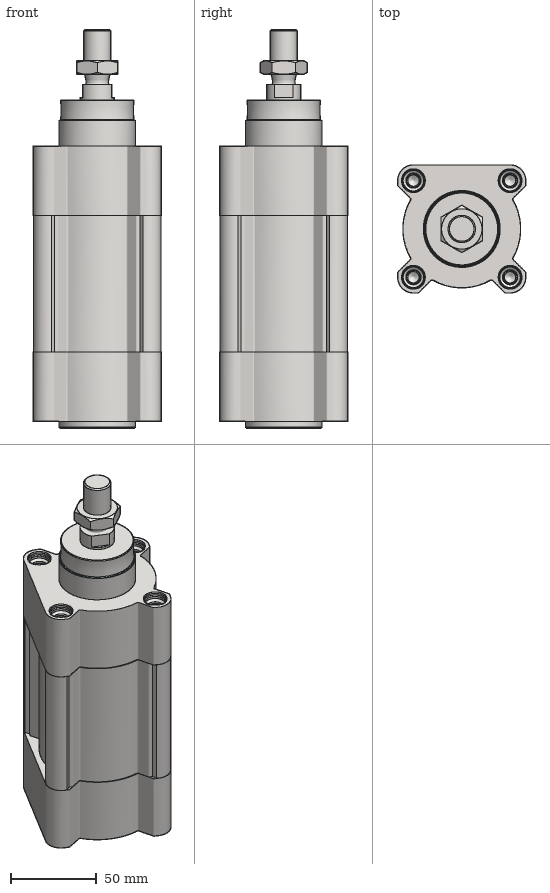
import cadquery as cq
import math

EDGE_TOLERANCE = 0.01

REAR_BOSS_HEIGHT = 4.0
CAP_LENGTH = 40.5
BARREL_LENGTH = 80.0
COLLAR_HEIGHT = 15.0
WIPER_HEIGHT = 12.0
SHOULDER_HEIGHT = 36.1
STUD_LENGTH = 32.0

REAR_CAP_Z = REAR_BOSS_HEIGHT
BARREL_Z = REAR_CAP_Z + CAP_LENGTH
FRONT_CAP_Z = BARREL_Z + BARREL_LENGTH
FRONT_FACE_Z = FRONT_CAP_Z + CAP_LENGTH
WIPER_Z = FRONT_FACE_Z + COLLAR_HEIGHT
WIPER_TOP_Z = WIPER_Z + WIPER_HEIGHT
SHOULDER_Z = FRONT_FACE_Z + SHOULDER_HEIGHT
ROD_TOP_Z = SHOULDER_Z + STUD_LENGTH

SQUARE_SIDE = 75.0
SCREW_PITCH = 56.5
HALF_SIDE = SQUARE_SIDE / 2
HALF_PITCH = SCREW_PITCH / 2
CORNER_RADIUS = HALF_SIDE - HALF_PITCH
CORNER_REACH = HALF_PITCH * math.sqrt(2)
BARREL_INSET = 0.1
CAP_RADIUS = 34.5
BARREL_RADIUS = 34.0
CAP_ARM_HALF_WIDTH = 8.6
BARREL_ARM_HALF_WIDTH = CAP_ARM_HALF_WIDTH - BARREL_INSET
CAP_ARM_FILLET = 0.8
BARREL_FILLET = 1.2
BARREL_CORNER_RADIUS = CORNER_RADIUS - BARREL_INSET

GROOVE_INNER_REACH = 41.0
GROOVE_FLOOR_REACH = 42.4
GROOVE_FLOOR_HALF_WIDTH = 7.0
GROOVE_OUTER_REACH = 45.3
GROOVE_LIP_FILLET = 0.8

BOSS_DIAMETER = 45.0
REAR_BOSS_CHAMFER = 0.8
WIPER_DIAMETER = 43.0
WIPER_WAIST_DIAMETER = 42.4
WIPER_FOOT_DIAMETER = 44.0
WIPER_CHAMFER = 0.5

SCREW_HOLE_RIMS = [
    (13.9, 0.0),
    (13.2, 0.8),
    (13.2, 2.0),
    (12.0, 2.6),
    (12.0, 4.0),
    (8.8, 5.2),
    (8.0, 6.0),
]
THREAD_CORE_DIAMETER = 6.65
THREAD_DEPTH = 20.0
DRILL_POINT_ANGLE = 118.0

ROD_DIAMETER = 20.0
STUD_DIAMETER = 16.0
STUD_TIP_DIAMETER = 14.38
UNDERCUT_DIAMETER = 13.2
UNDERCUT_HEIGHT = 2.1
UNDERCUT_CONE_DIAMETER = 14.95
UNDERCUT_FILLET = 0.6
WRENCH_FLATS = 17.0
FLATS_HEIGHT = 7.7

NUT_ACROSS_FLATS = 24.0
NUT_HEIGHT = 8.0
NUT_GAP = 5.8
NUT_FACE_DIAMETER = 23.6
NUT_CHAMFER_ANGLE = 30.0
NUT_Z = SHOULDER_Z + NUT_GAP


def cylinder(diameter, z, height):
    return cq.Workplane("XY").workplane(offset=z).circle(diameter / 2).extrude(height)


def revolve_profile(points):
    """Closed (radius, z) outline turned about the Z axis."""
    return cq.Workplane("XZ").polyline(points).close().revolve(360, (0, 0), (0, 1))


def at_corners(solid):
    """The solid, laid along +X, copied onto the four diagonals."""
    return [solid.rotate((0, 0, 0), (0, 0, 1), angle) for angle in (45, 135, 225, 315)]


def fillet_arm_edges(body, half_width, reaches, radius):
    """Round the upright edges on the sides of the arms, at the given distances along the diagonal."""
    axis_distances = [math.hypot(reach, half_width) for reach in reaches]

    def on_arm_side(edge):
        x, y = abs(edge.Center().x), abs(edge.Center().y)
        off_side = abs(x - y) / math.sqrt(2) - half_width
        off_reach = min(abs(math.hypot(x, y) - distance) for distance in axis_distances)
        return abs(off_side) < EDGE_TOLERANCE and off_reach < EDGE_TOLERANCE

    return body.edges("|Z").filter(on_arm_side).fillet(radius)


def make_cap(z):
    """End cap: round body, four corner arms and a flat +Y side."""
    square = (
        cq.Workplane("XY").workplane(offset=z)
        .rect(SQUARE_SIDE, SQUARE_SIDE).extrude(CAP_LENGTH)
        .edges("|Z").fillet(CORNER_RADIUS)
    )
    arm = (
        cq.Workplane("XY").workplane(offset=z)
        .rect(2 * SQUARE_SIDE, 2 * CAP_ARM_HALF_WIDTH).extrude(CAP_LENGTH)
    )
    keep = cylinder(2 * CAP_RADIUS, z, CAP_LENGTH)
    for angle in (45, 135):
        keep = keep.union(arm.rotate((0, 0, 0), (0, 0, 1), angle))
    flat_side = (
        cq.Workplane("XY").workplane(offset=z)
        .polyline([(0, 0), (SQUARE_SIDE, SQUARE_SIDE), (-SQUARE_SIDE, SQUARE_SIDE)]).close()
        .extrude(CAP_LENGTH)
    )
    cap = square.intersect(keep.union(flat_side))
    root_reach = math.sqrt(CAP_RADIUS**2 - CAP_ARM_HALF_WIDTH**2)
    corner_reach = HALF_SIDE * math.sqrt(2) - CAP_ARM_HALF_WIDTH
    return fillet_arm_edges(cap, CAP_ARM_HALF_WIDTH, [root_reach, corner_reach], CAP_ARM_FILLET)


def make_barrel():
    """Barrel: round tube body with four grooved corner arms."""
    outer_half_width = math.sqrt(BARREL_CORNER_RADIUS**2 - (GROOVE_OUTER_REACH - CORNER_REACH)**2)
    arm = (
        cq.Workplane("XY").workplane(offset=BARREL_Z)
        .moveTo(0, -BARREL_ARM_HALF_WIDTH)
        .lineTo(GROOVE_INNER_REACH, -BARREL_ARM_HALF_WIDTH)
        .lineTo(GROOVE_FLOOR_REACH, -GROOVE_FLOOR_HALF_WIDTH)
        .lineTo(GROOVE_OUTER_REACH, -outer_half_width)
        .threePointArc((CORNER_REACH + BARREL_CORNER_RADIUS, 0), (GROOVE_OUTER_REACH, outer_half_width))
        .lineTo(GROOVE_FLOOR_REACH, GROOVE_FLOOR_HALF_WIDTH)
        .lineTo(GROOVE_INNER_REACH, BARREL_ARM_HALF_WIDTH)
        .lineTo(0, BARREL_ARM_HALF_WIDTH)
        .close().extrude(BARREL_LENGTH)
    )
    barrel = cylinder(2 * BARREL_RADIUS, BARREL_Z, BARREL_LENGTH)
    for corner_arm in at_corners(arm):
        barrel = barrel.union(corner_arm)
    root_reach = math.sqrt(BARREL_RADIUS**2 - BARREL_ARM_HALF_WIDTH**2)
    barrel = fillet_arm_edges(barrel, BARREL_ARM_HALF_WIDTH, [root_reach], BARREL_FILLET)
    return fillet_arm_edges(barrel, BARREL_ARM_HALF_WIDTH, [GROOVE_INNER_REACH], GROOVE_LIP_FILLET)


def make_front_collar():
    """Collar with a slightly waisted wiper ring on top."""
    waist_bottom = WIPER_Z + WIPER_CHAMFER
    waist_top = WIPER_TOP_Z - WIPER_CHAMFER
    wiper = (
        cq.Workplane("XZ")
        .moveTo(0, WIPER_Z)
        .lineTo(WIPER_FOOT_DIAMETER / 2, WIPER_Z)
        .lineTo(WIPER_DIAMETER / 2, waist_bottom)
        .threePointArc(
            (WIPER_WAIST_DIAMETER / 2, (waist_bottom + waist_top) / 2),
            (WIPER_DIAMETER / 2, waist_top),
        )
        .lineTo(WIPER_DIAMETER / 2 - WIPER_CHAMFER, WIPER_TOP_Z)
        .lineTo(0, WIPER_TOP_Z)
        .close().revolve(360, (0, 0), (0, 1))
    )
    return cylinder(BOSS_DIAMETER, FRONT_FACE_Z, COLLAR_HEIGHT).union(wiper)


def make_screw_hole():
    """Stepped corner hole with a threaded core ending in a drill point."""
    core = THREAD_CORE_DIAMETER / 2
    last_depth = SCREW_HOLE_RIMS[-1][1]
    point_depth = core / math.tan(math.radians(DRILL_POINT_ANGLE / 2))
    outline = [(0, FRONT_FACE_Z)]
    outline += [(d / 2, FRONT_FACE_Z - depth) for d, depth in SCREW_HOLE_RIMS]
    outline += [
        (core, FRONT_FACE_Z - last_depth),
        (core, FRONT_FACE_Z - THREAD_DEPTH),
        (0, FRONT_FACE_Z - THREAD_DEPTH - point_depth),
    ]
    return revolve_profile(outline).translate((CORNER_REACH, 0, 0))


def make_housing():
    rear_boss = cylinder(BOSS_DIAMETER, 0, REAR_BOSS_HEIGHT).faces("<Z").chamfer(REAR_BOSS_CHAMFER)
    housing = make_barrel().union(make_cap(REAR_CAP_Z)).union(make_cap(FRONT_CAP_Z))
    housing = housing.union(rear_boss).union(make_front_collar())
    for hole in at_corners(make_screw_hole()):
        housing = housing.cut(hole)
    return housing.cut(cylinder(ROD_DIAMETER, FRONT_CAP_Z, WIPER_TOP_Z - FRONT_CAP_Z))


def make_piston_rod():
    undercut_top = SHOULDER_Z + UNDERCUT_HEIGHT
    tip_chamfer = (STUD_DIAMETER - STUD_TIP_DIAMETER) / 2
    rod = revolve_profile([
        (0, FRONT_CAP_Z),
        (ROD_DIAMETER / 2, FRONT_CAP_Z),
        (ROD_DIAMETER / 2, SHOULDER_Z),
        (UNDERCUT_DIAMETER / 2, SHOULDER_Z),
        (UNDERCUT_DIAMETER / 2, undercut_top),
        (UNDERCUT_CONE_DIAMETER / 2, NUT_Z),
        (STUD_DIAMETER / 2, NUT_Z),
        (STUD_DIAMETER / 2, ROD_TOP_Z - tip_chamfer),
        (STUD_TIP_DIAMETER / 2, ROD_TOP_Z),
        (0, ROD_TOP_Z),
    ])
    undercut_edges = cq.selectors.BoxSelector(
        (-STUD_DIAMETER, -STUD_DIAMETER, SHOULDER_Z - EDGE_TOLERANCE),
        (STUD_DIAMETER, STUD_DIAMETER, undercut_top + EDGE_TOLERANCE),
    )
    rod = rod.edges(undercut_edges).edges(cq.selectors.RadiusNthSelector(0)).fillet(UNDERCUT_FILLET)
    flat_depth = (ROD_DIAMETER - WRENCH_FLATS) / 2
    for side in (-1, 1):
        flat = cq.Workplane("XY").box(flat_depth, ROD_DIAMETER, FLATS_HEIGHT).translate(
            (side * (WRENCH_FLATS + flat_depth) / 2, 0, SHOULDER_Z - FLATS_HEIGHT / 2)
        )
        rod = rod.cut(flat)
    return rod


def make_lock_nut():
    """Hexagon nut with both faces chamfered at the corners; flats face +X and -X."""
    across_corners = NUT_ACROSS_FLATS / math.cos(math.pi / 6)
    chamfer = (across_corners - NUT_FACE_DIAMETER) / 2 * math.tan(math.radians(NUT_CHAMFER_ANGLE))
    hexagon = (
        cq.Workplane("XY").workplane(offset=NUT_Z)
        .polygon(6, across_corners).extrude(NUT_HEIGHT)
        .rotate((0, 0, 0), (0, 0, 1), 30)
    )
    envelope = revolve_profile([
        (0, NUT_Z),
        (NUT_FACE_DIAMETER / 2, NUT_Z),
        (across_corners / 2, NUT_Z + chamfer),
        (across_corners / 2, NUT_Z + NUT_HEIGHT - chamfer),
        (NUT_FACE_DIAMETER / 2, NUT_Z + NUT_HEIGHT),
        (0, NUT_Z + NUT_HEIGHT),
    ])
    return hexagon.intersect(envelope).cut(cylinder(STUD_DIAMETER, NUT_Z, NUT_HEIGHT))


housing = make_housing()
piston_rod = make_piston_rod()
lock_nut = make_lock_nut()

result = cq.Compound.makeCompound([housing.val(), piston_rod.val(), lock_nut.val()])